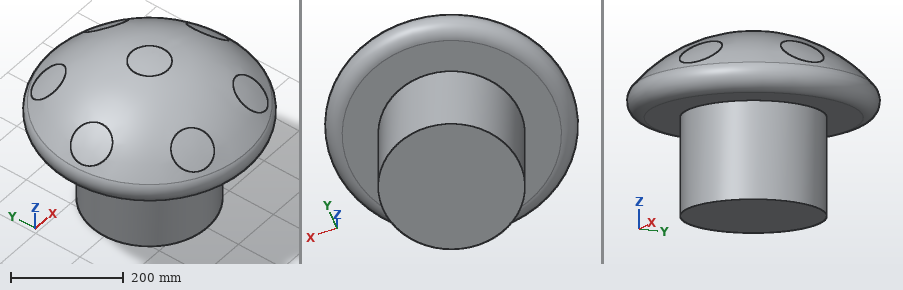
import cadquery as cq
import math

cap_diameter = 448.5
cap_height = 150.0
rim_radius = 30.0
stem_diameter = 260.3
stem_height = 180.0
spot_diameter = 80.0
spot_depth = 13.5
spot_tilt = 39.5
ring_spot_count = 6
ring_start_angle = 3.4

cap_radius = cap_diameter / 2
rim_center_x = cap_radius - rim_radius
crown_above_rim_center = cap_height - rim_radius
dome_radius = (
    (rim_center_x**2 + crown_above_rim_center**2 - rim_radius**2)
    / (2 * (crown_above_rim_center - rim_radius))
)
crown_z = stem_height + cap_height
rim_center_z = stem_height + rim_radius
dome_center_z = crown_z - dome_radius
rim_angle = math.asin(rim_center_x / (dome_radius - rim_radius))


def dome_point(angle):
    """Point of the dome profile at an angle (radians) from the vertical axis."""
    return (dome_radius * math.sin(angle), dome_center_z + dome_radius * math.cos(angle))


def make_stem():
    return cq.Workplane("XY").circle(stem_diameter / 2).extrude(stem_height)


def make_full_cap():
    """Solid of revolution: flat underside, rounded rim and spherical dome."""
    profile = (
        cq.Workplane("XZ")
        .moveTo(0, stem_height)
        .lineTo(rim_center_x, stem_height)
        .threePointArc((cap_radius, rim_center_z), dome_point(rim_angle))
        .threePointArc(dome_point(rim_angle / 2), (0, crown_z))
        .close()
    )
    return profile.revolve(360, (0, 0, 0), (0, 1, 0))


def make_spot(full_cap, tilt, azimuth):
    """Round inlay square to the dome, with its top face flush with the dome."""
    direction = cq.Vector(
        math.sin(math.radians(tilt)) * math.cos(math.radians(azimuth)),
        math.sin(math.radians(tilt)) * math.sin(math.radians(azimuth)),
        math.cos(math.radians(tilt)),
    )
    floor_center = cq.Vector(0, 0, dome_center_z) + direction * (dome_radius - spot_depth)
    blank = cq.Solid.makeCylinder(spot_diameter / 2, 2 * spot_depth, floor_center, direction)
    return full_cap.intersect(cq.Workplane(blank)).solids()


stem = make_stem()
full_cap = make_full_cap()

spots = [make_spot(full_cap, 0, 0)]
for index in range(ring_spot_count):
    azimuth = ring_start_angle + index * 360 / ring_spot_count
    spots.append(make_spot(full_cap, spot_tilt, azimuth))

cap = full_cap
for spot in spots:
    cap = cap.cut(spot)

result = cq.Compound.makeCompound([stem.val(), cap.solids().val(), *[spot.val() for spot in spots]])